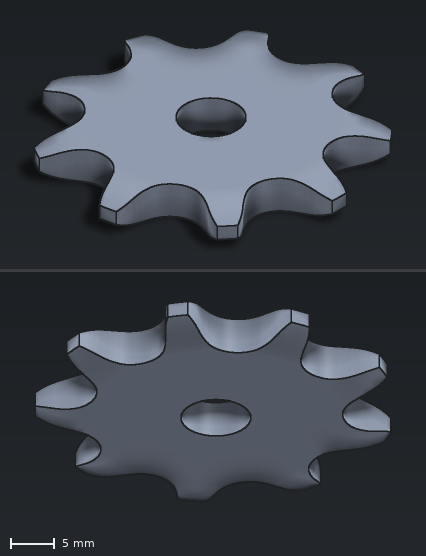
import cadquery as cq
import math

tooth_count = 9
pitch = 12.7
roller_diameter = 7.95
seat_clearance = 0.05
thickness = 4.5
bore_diameter = 8.0
tip_diameter = 41.5
tip_radius = tip_diameter / 2

relief_start_radius = 15.1
relief_arc_radius = pitch

half_step = math.pi / tooth_count
pitch_radius = pitch / (2 * math.sin(half_step))
seat_radius = roller_diameter / 2 + seat_clearance
seat_angle = math.radians(35 + 60 / tooth_count)
working_angle = math.radians(18 - 56 / tooth_count)
flank_angle = seat_angle - working_angle
working_center_distance = 0.8 * roller_diameter
working_radius = seat_radius + working_center_distance
topping_center_distance = 1.4 * roller_diameter


def polar(center, radius, angle):
    return (center[0] + radius * math.cos(angle), center[1] + radius * math.sin(angle))


def rotate(point, angle):
    cos_angle = math.cos(angle)
    sin_angle = math.sin(angle)
    x, y = point
    return (x * cos_angle - y * sin_angle, x * sin_angle + y * cos_angle)


def mirror(point):
    return (-point[0], point[1])


seat_center = (0, pitch_radius)
working_center = polar(seat_center, working_center_distance, seat_angle)
topping_center = polar(seat_center, topping_center_distance, math.pi + half_step)

center_spacing = (
    (working_center[0] - topping_center[0]) * math.cos(flank_angle)
    + (working_center[1] - topping_center[1]) * math.sin(flank_angle)
)
topping_radius = center_spacing - working_radius

topping_center_radius = math.hypot(*topping_center)
tip_corner_offset = math.acos(
    (tip_radius**2 + topping_center_radius**2 - topping_radius**2)
    / (2 * tip_radius * topping_center_radius)
)
topping_center_angle = math.atan2(topping_center[1], topping_center[0])
tip_corner = polar((0, 0), tip_radius, topping_center_angle - tip_corner_offset)
tip_corner_angle = math.atan2(
    tip_corner[1] - topping_center[1], tip_corner[0] - topping_center[0]
)

topping_mid = polar(topping_center, topping_radius, (tip_corner_angle + flank_angle) / 2)
flank_top = polar(topping_center, topping_radius, flank_angle)
flank_bottom = polar(working_center, working_radius, math.pi + flank_angle)
working_mid = polar(working_center, working_radius, math.pi + (flank_angle + seat_angle) / 2)
seat_start = polar(seat_center, seat_radius, math.pi + seat_angle)
seat_bottom = (0, pitch_radius - seat_radius)


def make_toothed_plate():
    outline = cq.Workplane("XY").workplane(offset=-thickness / 2).moveTo(*tip_corner)
    for index in range(tooth_count):
        turn = -2 * half_step * index
        next_turn = turn - 2 * half_step
        outline = (
            outline.threePointArc(rotate(topping_mid, turn), rotate(flank_top, turn))
            .lineTo(*rotate(flank_bottom, turn))
            .threePointArc(rotate(working_mid, turn), rotate(seat_start, turn))
            .threePointArc(rotate(seat_bottom, turn), rotate(mirror(seat_start), turn))
            .threePointArc(rotate(mirror(working_mid), turn), rotate(mirror(flank_bottom), turn))
            .lineTo(*rotate(mirror(flank_top), turn))
            .threePointArc(rotate(mirror(topping_mid), turn), rotate(mirror(tip_corner), turn))
            .threePointArc(
                rotate((0, tip_radius), turn - half_step),
                rotate(tip_corner, next_turn),
            )
        )
    return outline.close().extrude(thickness)


def make_relieved_blank():
    half_thickness = thickness / 2
    relief_run = tip_radius - relief_start_radius

    def relief_height(run):
        drop = relief_arc_radius - math.sqrt(relief_arc_radius**2 - run**2)
        return half_thickness - drop

    mid_radius = relief_start_radius + relief_run / 2
    mid_height = relief_height(relief_run / 2)
    tip_height = relief_height(relief_run)
    section = (
        cq.Workplane("XZ")
        .moveTo(0, -half_thickness)
        .lineTo(relief_start_radius, -half_thickness)
        .threePointArc((mid_radius, -mid_height), (tip_radius, -tip_height))
        .lineTo(tip_radius, tip_height)
        .threePointArc((mid_radius, mid_height), (relief_start_radius, half_thickness))
        .lineTo(0, half_thickness)
        .close()
    )
    return section.revolve(360, (0, 0, 0), (0, 1, 0))


def make_bore():
    return cq.Workplane("XY").circle(bore_diameter / 2).extrude(thickness, both=True)


result = make_toothed_plate().intersect(make_relieved_blank()).cut(make_bore())